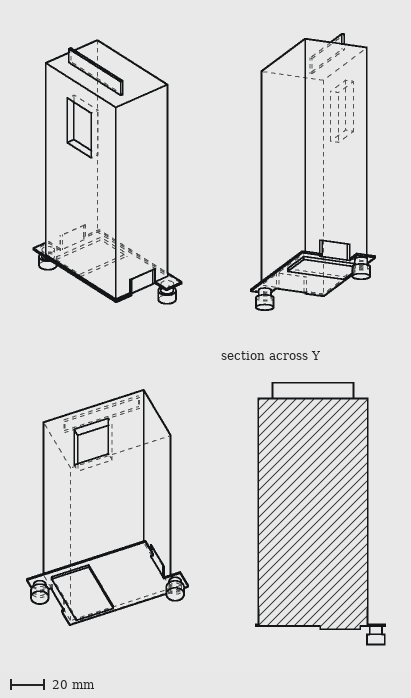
import cadquery as cq

total_height = 156.1
plate_length = 86.0
plate_depth = 43.5
plate_bottom = 11.0
plate_thickness = 1.1
plate_top = plate_bottom + plate_thickness
flange_depth = 12.0
flange_short_reach = 34.2

housing_width = 65.2
housing_front = -20.8
housing_back = 19.4
housing_top = 146.5

board_width = 48.4
board_thickness = 1.5
board_front = -9.8

window_left = -12.6
window_right = 9.7
window_bottom = 100.2
window_top = 131.6
window_depth = 5.3

recess_top = 21.0
recess_half_width = plate_depth / 2 - flange_depth
panel_depth = 0.2
groove_width = 1.5
groove_depth = 0.3

pad_left = -28.3
pad_right = -4.2
pad_half_depth = 18.3
pad_bottom = 9.0

screw_x = 37.5
screw_y = 15.0
shank_radius = 3.7
head_radius = 5.3
head_height = 6.1


def block(x_range, y_range, z_range):
    """Return a box spanning the given (low, high) limits on each axis."""
    sizes = [high - low for low, high in (x_range, y_range, z_range)]
    corner = (x_range[0], y_range[0], z_range[0])
    return cq.Workplane("XY").box(*sizes, centered=False).translate(corner)


def make_plate():
    """Web under the housing plus flanges reaching out in opposite directions."""
    half_length = plate_length / 2
    half_depth = plate_depth / 2
    z_range = (plate_bottom, plate_top)
    front_flange = block(
        (-half_length, flange_short_reach), (-half_depth, -half_depth + flange_depth), z_range
    )
    back_flange = front_flange.rotate((0, 0, 0), (0, 0, 1), 180)
    web = block((-housing_width / 2, housing_width / 2), (-half_depth, half_depth), z_range)
    return web.union(front_flange).union(back_flange)


def make_housing():
    """Housing block with the window recess and the board edge on top."""
    housing = block(
        (-housing_width / 2, housing_width / 2), (housing_front, housing_back), (plate_top, housing_top)
    )
    window = block(
        (window_left, window_right), (housing_front, housing_front + window_depth), (window_bottom, window_top)
    )
    board = block(
        (-board_width / 2, board_width / 2),
        (board_front, board_front + board_thickness),
        (housing_top, total_height),
    )
    return housing.cut(window).union(board)


def make_side_recess(side):
    """Shallow recess on one side wall (side = -1 or 1), deeper in a groove at each end."""
    wall_x = side * housing_width / 2
    z_range = (plate_bottom, recess_top)
    panel_x = sorted((wall_x, wall_x - side * panel_depth))
    groove_x = sorted((wall_x, wall_x - side * groove_depth))
    recess = block(panel_x, (-recess_half_width, recess_half_width), z_range)
    for end in (-1, 1):
        groove_y = sorted((end * recess_half_width, end * (recess_half_width - groove_width)))
        recess = recess.union(block(groove_x, groove_y, z_range))
    return recess


def make_screw(x, y):
    """Screw hanging below the plate, with its head at the bottom."""
    head = cq.Workplane("XY").circle(head_radius).extrude(head_height)
    shank = cq.Workplane("XY").circle(shank_radius).extrude(plate_bottom)
    return head.union(shank).translate((x, y, 0))


pad = block((pad_left, pad_right), (-pad_half_depth, pad_half_depth), (pad_bottom, plate_bottom))
result = make_plate().union(make_housing()).union(pad)

for side in (-1, 1):
    result = result.cut(make_side_recess(side))

for side in (-1, 1):
    result = result.union(make_screw(side * screw_x, side * screw_y))